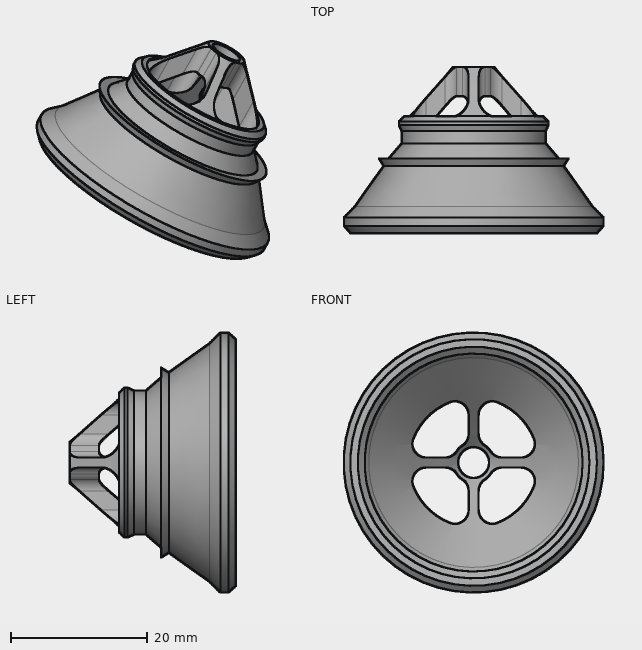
import cadquery as cq

length = 24.44

rim_radius = 19.1
rim_chamfer = 1.0
rim_chamfer_depth = 1.1
rim_band_end = 2.3
mouth_radius = 17.0
mouth_lip = 0.3
groove_depth = 1.0
groove_width = 0.4
seat_radius = 16.0
seat_length = 1.0
cavity_radius = 15.4
cavity_taper_length = 0.8

skirt_start_radius = 17.5
flange_root_radius = 13.25
flange_root_y = 9.87
flange_radius = 13.95
flange_y = 11.0

shoulder_radius = 12.5
neck_radius = 10.6
neck_start = 13.2
neck_end = 15.0
bead_radius = 11.0
bead_start = 15.9
bead_end = 16.4
collar_y = 17.2
collar_radius = bead_radius - (collar_y - bead_end)

cone_base_radius = 9.35
hub_radius = 3.0
hub_underside_y = 20.1
bore_radius = 4.5 / 2
window_outer_radius = 9.5
window_fillet = 2.0
spoke_width = 1.5


def outer_profile():
    """(radius, y) points of the outside, from the rim to the hub tip."""
    skirt_start_y = rim_band_end + rim_radius - skirt_start_radius
    return [
        (rim_radius - rim_chamfer, 0),
        (rim_radius, rim_chamfer_depth),
        (rim_radius, rim_band_end),
        (skirt_start_radius, skirt_start_y),
        (flange_root_radius, flange_root_y),
        (flange_radius, flange_y),
        (shoulder_radius, flange_y),
        (neck_radius, neck_start),
        (neck_radius, neck_end),
        (bead_radius, bead_start),
        (bead_radius, bead_end),
        (collar_radius, collar_y),
        (cone_base_radius, collar_y),
        (hub_radius, length),
    ]


def inner_profile():
    """(radius, y) points of the inside, from the hub bore back to the rim."""
    groove_radius = mouth_radius + groove_depth
    groove_start = mouth_lip + groove_depth
    groove_end = groove_start + groove_width
    seat_start = groove_end + groove_radius - seat_radius
    seat_end = seat_start + seat_length
    cavity_start = seat_end + cavity_taper_length
    cavity_slope = (cavity_radius - hub_radius) / (hub_underside_y - cavity_start)
    bore_start = hub_underside_y + (hub_radius - bore_radius) / cavity_slope
    return [
        (bore_radius, length),
        (bore_radius, bore_start),
        (cavity_radius, cavity_start),
        (seat_radius, seat_end),
        (seat_radius, seat_start),
        (groove_radius, groove_end),
        (groove_radius, groove_start),
        (mouth_radius, mouth_lip),
        (mouth_radius, 0),
    ]


def make_body():
    profile = cq.Workplane("XY").polyline(outer_profile() + inner_profile()).close()
    return profile.revolve(360, (0, 0, 0), (0, 1, 0))


def make_windows():
    """Four rounded quarter-ring cutters, parted by the spokes."""
    ring = cq.Workplane("XZ").circle(window_outer_radius).circle(hub_radius).extrude(-length)
    span = 2 * window_outer_radius
    for width, height in ((span, spoke_width), (spoke_width, span)):
        spokes = cq.Workplane("XZ").rect(width, height).extrude(-length)
        ring = ring.cut(spokes)
    return ring.edges("|Y").fillet(window_fillet)


result = make_body().cut(make_windows())